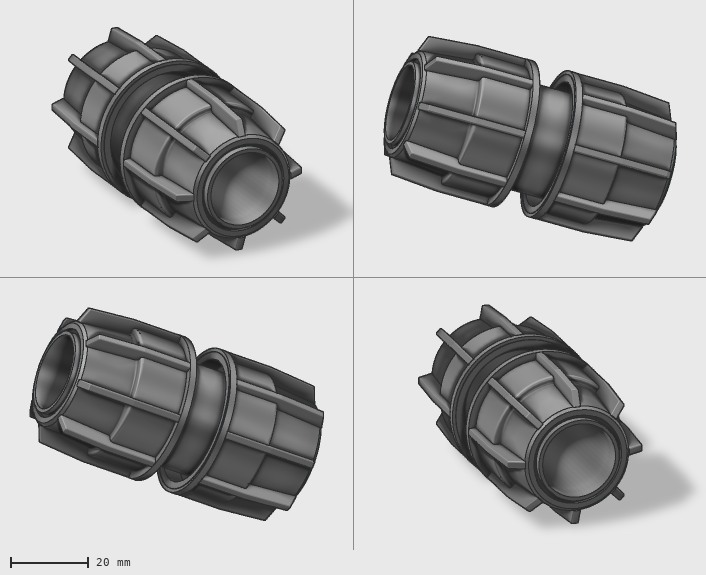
import cadquery as cq
import math


overall_length = 72.0
pipe_bore_diameter = 20.0
collet_diameter = 22.0
body_diameter = 28.0

nut_inner_end = 5.0
nut_outer_end = 35.0
collar_thickness = 1.85
collar_diameter = 39.0
barrel_diameter = 35.0
shoulder_place = 20.15
shoulder_inner_radius = 16.3
shoulder_round = 0.85
cone_base_radius = 15.5
cone_tip_radius = 14.25
nose_face_radius = 13.5
nose_chamfer_length = 0.8

outer_recess_diameter = 24.0
outer_recess_depth = 1.0
face_recess_diameter = 37.05
face_recess_depth = 0.2
inner_recess_diameter = 33.15
inner_recess_depth = 5.0

rib_count = 8
rib_width = 2.0
rib_edge_round = 0.4
rib_top_setback = 0.08
rib_top_radius = collar_diameter / 2 - rib_top_setback
rib_tip_place = 33.0
rib_tip_radius = 18.4
rib_foot_setback = 0.25
rib_foot_place = nut_outer_end - rib_foot_setback
rib_root_radius = 14.0


def tube(inner_diameter, outer_diameter, start, length):
    """Ring-shaped solid around X, running from start in the +X direction."""
    return (
        cq.Workplane("YZ", origin=(start, 0, 0))
        .circle(outer_diameter / 2)
        .circle(inner_diameter / 2)
        .extrude(length)
    )


def nut_shell():
    """Collar, barrel, rounded shoulder, cone and chamfered nose as one turned profile."""
    collar_end = nut_inner_end + collar_thickness
    barrel_radius = barrel_diameter / 2
    cone_base_place = shoulder_place + shoulder_inner_radius - cone_base_radius
    nose_start = nut_outer_end - nose_chamfer_length
    barrel_end = shoulder_place - shoulder_round
    diagonal = math.sqrt(0.5)
    inner_round = shoulder_inner_radius - cone_base_radius
    shoulder_middle = (
        barrel_end + shoulder_round * diagonal,
        barrel_radius - shoulder_round * (1 - diagonal),
    )
    fillet_middle = (
        cone_base_place - inner_round * diagonal,
        shoulder_inner_radius - inner_round * diagonal,
    )
    return (
        cq.Workplane("XY")
        .moveTo(nut_inner_end, pipe_bore_diameter / 2)
        .lineTo(nut_inner_end, collar_diameter / 2)
        .lineTo(collar_end, collar_diameter / 2)
        .lineTo(collar_end, barrel_radius)
        .lineTo(barrel_end, barrel_radius)
        .threePointArc(shoulder_middle, (shoulder_place, barrel_radius - shoulder_round))
        .lineTo(shoulder_place, shoulder_inner_radius)
        .threePointArc(fillet_middle, (cone_base_place, cone_base_radius))
        .lineTo(nose_start, cone_tip_radius)
        .lineTo(nut_outer_end, nose_face_radius)
        .lineTo(nut_outer_end, pipe_bore_diameter / 2)
        .close()
        .revolve(360, (0, 0, 0), (1, 0, 0))
    )


def rib():
    """One grip rib standing on the +Z side, with its exposed edges rounded."""
    rib_start = nut_inner_end + collar_thickness / 2
    profile = [
        (rib_start, rib_root_radius),
        (rib_start, rib_top_radius),
        (shoulder_place, rib_top_radius),
        (rib_tip_place, rib_tip_radius),
        (rib_foot_place, cone_tip_radius),
        (nut_outer_end - nose_chamfer_length, rib_root_radius),
    ]
    blank = cq.Workplane("XZ").polyline(profile).close().extrude(rib_width / 2, both=True)
    above_foot = cq.selectors.BoxSelector(
        (rib_start + rib_edge_round, -rib_width, cone_tip_radius),
        (nut_outer_end, rib_width, collar_diameter),
    )
    tip_corner = cq.selectors.NearestToPointSelector((rib_tip_place, 0, rib_tip_radius))
    lengthwise = blank.edges(above_foot).edges("not |Y")
    return lengthwise.add(blank.edges(tip_corner)).fillet(rib_edge_round)


def nut():
    """Ribbed nut on the +X end, filled down to the pipe bore apart from its recesses."""
    body = nut_shell()
    for index in range(rib_count):
        body = body.union(rib().rotate((0, 0, 0), (1, 0, 0), index * 360 / rib_count))
    outer_recess = tube(
        collet_diameter, outer_recess_diameter, nut_outer_end - outer_recess_depth, outer_recess_depth
    )
    inner_recess = tube(body_diameter, inner_recess_diameter, nut_inner_end, inner_recess_depth)
    face_recess = tube(body_diameter, face_recess_diameter, nut_inner_end, face_recess_depth)
    return body.cut(outer_recess).cut(inner_recess).cut(face_recess)


right_nut = nut()
left_nut = right_nut.mirror("YZ")
collet_tube = tube(pipe_bore_diameter, collet_diameter, -overall_length / 2, overall_length)
body_tube = tube(pipe_bore_diameter, body_diameter, -shoulder_place, 2 * shoulder_place)

result = collet_tube.union(body_tube).union(right_nut).union(left_nut)